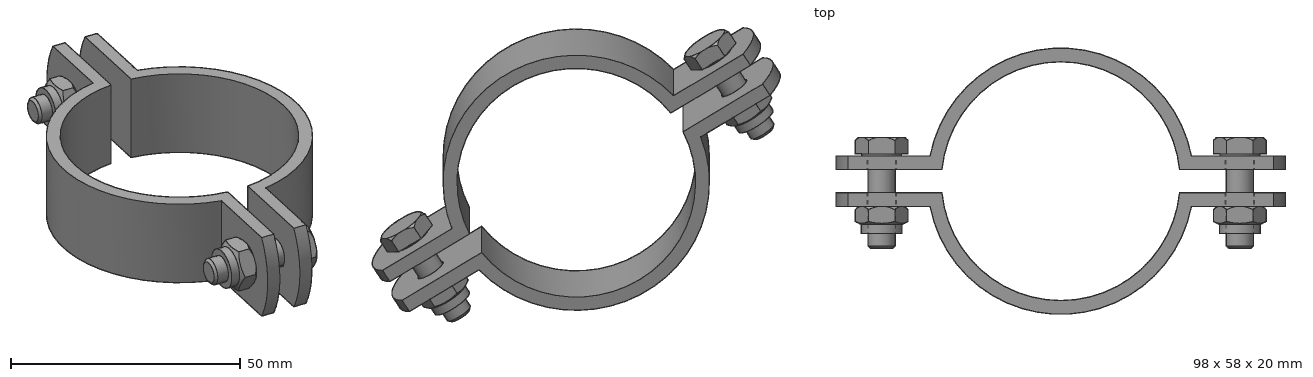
import cadquery as cq
import math

overall_length = 98
ring_outer_radius = 29.0
band_thickness = 3.0
band_width = 20.0
ear_gap = 5.0
ear_end_radius = 20.0
bolt_hole_diameter = 6.5
ring_inner_radius = ring_outer_radius - band_thickness
ear_inner_y = ear_gap / 2
ear_outer_y = ear_inner_y + band_thickness
ear_half_length = overall_length / 2

bolt_offset = 39.0
shank_diameter = 6.0
bolt_tip_projection = 9.1
bolt_tip_chamfer = 0.6
hex_across_flats = 10.0
hex_across_corners = hex_across_flats / math.cos(math.radians(30))
head_total_height = 4.0
head_washer_height = 0.4
head_washer_diameter = 8.7
nut_hex_height = 3.9
nut_total_height = 5.9
nut_collar_diameter = 8.9
corner_chamfer = 0.7
nut_collar_side_bevel_depth = (hex_across_corners - nut_collar_diameter) / 2


def cylinder_y(diameter, y_start, y_end):
    """Cylinder on the Y axis between two Y positions."""
    return (
        cq.Workplane("XZ", origin=(0, y_start, 0))
        .circle(diameter / 2)
        .extrude(y_start - y_end)
    )


def hexagon_y(y_start, y_end, start_bevel, end_bevel):
    """Hexagonal prism along Y with corners on X, its corners turned down by conical bevels.

    Each bevel is the (radial, axial) size of the cut at that end; zero leaves the end plain.
    """
    prism = (
        cq.Workplane("XZ", origin=(0, y_start, 0))
        .polygon(6, hex_across_corners)
        .extrude(y_start - y_end)
    )
    radius = hex_across_corners / 2
    start_radial, start_axial = start_bevel
    end_radial, end_axial = end_bevel
    profile = cq.Workplane("XY").moveTo(0, y_start).lineTo(radius - start_radial, y_start)
    if start_axial > 0:
        profile = profile.lineTo(radius, y_start + start_axial)
    profile = profile.lineTo(radius, y_end - end_axial)
    if end_axial > 0:
        profile = profile.lineTo(radius - end_radial, y_end)
    envelope = profile.lineTo(0, y_end).close().revolve(360, (0, 0, 0), (0, 1, 0))
    return prism.intersect(envelope)


def make_clamp_half():
    """Half ring with two flat ears, on the +Y side of the joint."""
    inner_x = math.sqrt(ring_inner_radius**2 - ear_inner_y**2)
    outer_x = math.sqrt(ring_outer_radius**2 - ear_outer_y**2)
    band = (
        cq.Workplane("XY", origin=(0, 0, -band_width / 2))
        .moveTo(-ear_half_length, ear_inner_y)
        .lineTo(-inner_x, ear_inner_y)
        .threePointArc((0, ring_inner_radius), (inner_x, ear_inner_y))
        .lineTo(ear_half_length, ear_inner_y)
        .lineTo(ear_half_length, ear_outer_y)
        .lineTo(outer_x, ear_outer_y)
        .threePointArc((0, ring_outer_radius), (-outer_x, ear_outer_y))
        .lineTo(-ear_half_length, ear_outer_y)
        .close()
        .extrude(band_width)
    )
    return drill_bolt_holes(round_ear_ends(band))


def round_ear_ends(band):
    """Trim the ear ends to shallow arcs."""
    half_width = band_width / 2
    end_sagitta = ear_end_radius - math.sqrt(ear_end_radius**2 - half_width**2)
    corner_x = ear_half_length - end_sagitta
    outline = (
        cq.Workplane("XZ")
        .moveTo(-corner_x, -half_width)
        .lineTo(corner_x, -half_width)
        .threePointArc((ear_half_length, 0), (corner_x, half_width))
        .lineTo(-corner_x, half_width)
        .threePointArc((-ear_half_length, 0), (-corner_x, -half_width))
        .close()
        .extrude(-ring_outer_radius)
    )
    return band.intersect(outline)


def drill_bolt_holes(band):
    """Clearance hole through each ear."""
    hole = cylinder_y(bolt_hole_diameter, 0, ear_outer_y)
    for side in (-1, 1):
        band = band.cut(hole.translate((side * bolt_offset, 0, 0)))
    return band


def make_bolt():
    """Hex bolt with its head on the +Y ear and its tip beyond the -Y ear."""
    washer_end = ear_outer_y + head_washer_height
    head_end = ear_outer_y + head_total_height
    tip_y = -ear_outer_y - bolt_tip_projection
    shank = cylinder_y(shank_diameter, tip_y, washer_end).faces("<Y").chamfer(bolt_tip_chamfer)
    washer_face = cylinder_y(head_washer_diameter, ear_outer_y, washer_end)
    head = hexagon_y(washer_end, head_end, (0, 0), (corner_chamfer, corner_chamfer))
    return head.union(washer_face).union(shank)


def make_nut():
    """Hex nut with a round collar, seated on the -Y ear."""
    seat_y = -ear_outer_y
    hex_end = seat_y - nut_hex_height
    collar_end = seat_y - nut_total_height
    body = hexagon_y(
        hex_end,
        seat_y,
        (nut_collar_side_bevel_depth, corner_chamfer),
        (corner_chamfer, corner_chamfer),
    )
    collar = cylinder_y(nut_collar_diameter, collar_end, hex_end)
    bore = cylinder_y(shank_diameter, collar_end, seat_y)
    return body.union(collar).cut(bore)


clamp_halves = []
for turn in (0, 180):
    clamp_halves.append(make_clamp_half().rotate((0, 0, 0), (0, 0, 1), turn).val())

bolts = []
nuts = []
for side in (-1, 1):
    place = (side * bolt_offset, 0, 0)
    bolts.append(make_bolt().translate(place).val())
    nuts.append(make_nut().translate(place).val())

result = cq.Compound.makeCompound([*clamp_halves, *bolts, *nuts])